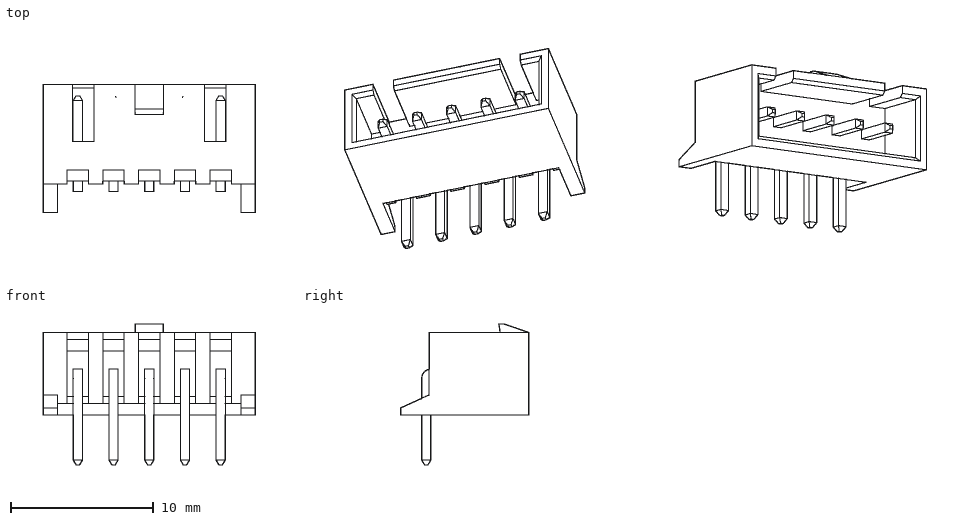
import cadquery as cq


length = 14.9
depth = 7.0
height = 5.8
end_wall = 0.77
plate_wall = 0.82
cavity_depth = 4.02
mouth_chamfer = 0.25

slot_width = 1.49
slot_outer_x = 5.38

pin_count = 5
pitch = 2.5
pin_size = 0.65
pin_z = height / 2
pin_front_y = -0.52
pin_bottom_z = -3.5
pin_end_gap = 0.8
tip_length = 0.35
tip_width = 0.24

pocket_width = 1.49
pocket_depth = 1.0
pocket_face_y = 0.21
pocket_ledge_drop = 0.5
pocket_face_drop = 1.3
pocket_face_bottom_z = 1.31

foot_width = 1.03
foot_reach = 2.0
foot_root_height = 1.42
foot_tip_height = 0.5
step_height = plate_wall
step_depth = pocket_depth

latch_width = 2.0
latch_height = 0.6
latch_base_length = 2.03
latch_ramp_length = 1.73
latch_top_length = 2.12


def side_prism(points, width, center_x):
    """Extrude a closed (Y, Z) outline along X, centred on center_x."""
    return extrude_along_x(cq.Workplane("YZ").polyline(points).close(), width, center_x)


def extrude_along_x(outline, width, center_x):
    """Extrude a (Y, Z) outline equally to both sides of center_x."""
    return outline.extrude(width / 2, both=True).translate((center_x, 0, 0))


def block(x_min, x_max, y_min, y_max, z_min, z_max):
    size = (x_max - x_min, y_max - y_min, z_max - z_min)
    return cq.Workplane().box(*size, centered=False).translate((x_min, y_min, z_min))


def make_shell():
    """Housing block with the mating cavity open at +Y and a chamfered mouth."""
    cavity_x = length / 2 - end_wall
    cavity = block(-cavity_x, cavity_x, depth - cavity_depth, depth, plate_wall, height - plate_wall)
    body = block(-length / 2, length / 2, 0, depth, 0, height).cut(cavity)
    mouth_edges = body.faces(">Y").wires(cq.selectors.AreaNthSelector(0))
    return mouth_edges.chamfer(mouth_chamfer)


def make_guide_slot(side):
    center_x = side * (slot_outer_x - slot_width / 2)
    half_width = slot_width / 2
    return block(
        center_x - half_width, center_x + half_width,
        depth - cavity_depth, depth,
        height / 2, height,
    )


def make_front_step():
    step_x = length / 2 - foot_width
    return block(-step_x, step_x, 0, step_depth, 0, step_height)


def make_pocket(center_x):
    """Recess open to the top, bulging outwards where the pin leaves the housing."""
    outline = [
        (0, height),
        (pocket_depth, height),
        (pocket_depth, height - pocket_ledge_drop),
        (pocket_face_y, height - pocket_face_drop),
        (pocket_face_y, pocket_face_bottom_z),
        (pocket_depth, step_height),
        (0, step_height),
    ]
    return side_prism(outline, pocket_width, center_x)


def make_foot(side):
    outline = [
        (0, 0),
        (0, foot_root_height),
        (-foot_reach, foot_tip_height),
        (-foot_reach, 0),
    ]
    return side_prism(outline, foot_width, side * (length - foot_width) / 2)


def make_latch():
    outline = [
        (depth, height),
        (depth - latch_base_length, height),
        (depth - latch_top_length, height + latch_height),
        (depth - latch_ramp_length, height + latch_height),
    ]
    return side_prism(outline, latch_width, 0)


def make_tip(plane):
    """Square taper that ends a pin, growing along the plane's normal."""
    return (
        cq.Workplane(plane)
        .rect(pin_size, pin_size)
        .workplane(offset=tip_length)
        .rect(tip_width, tip_width)
        .loft(ruled=True)
    )


def make_pin(center_x):
    """Right-angle pin with a sharp inner corner and a rounded outer bend."""
    inner_y = pin_front_y + pin_size
    lower_z = pin_z - pin_size / 2
    upper_z = pin_z + pin_size / 2
    contact_end_y = depth - pin_end_gap - tip_length
    leg_end_z = pin_bottom_z + tip_length

    outline = (
        cq.Workplane("YZ")
        .moveTo(contact_end_y, upper_z)
        .lineTo(inner_y, upper_z)
        .radiusArc((pin_front_y, lower_z), -pin_size)
        .lineTo(pin_front_y, leg_end_z)
        .lineTo(inner_y, leg_end_z)
        .lineTo(inner_y, lower_z)
        .lineTo(contact_end_y, lower_z)
        .close()
    )
    bar = extrude_along_x(outline, pin_size, center_x)

    leg_y = pin_front_y + pin_size / 2
    contact_plane = cq.Plane((center_x, contact_end_y, pin_z), xDir=(1, 0, 0), normal=(0, 1, 0))
    leg_plane = cq.Plane((center_x, leg_y, leg_end_z), xDir=(1, 0, 0), normal=(0, 0, -1))
    return bar.union(make_tip(contact_plane)).union(make_tip(leg_plane))


pin_positions = [(i - (pin_count - 1) / 2) * pitch for i in range(pin_count)]

result = make_shell().cut(make_front_step()).union(make_latch())
for side in (-1, 1):
    result = result.cut(make_guide_slot(side)).union(make_foot(side))
for x in pin_positions:
    result = result.cut(make_pocket(x)).union(make_pin(x))